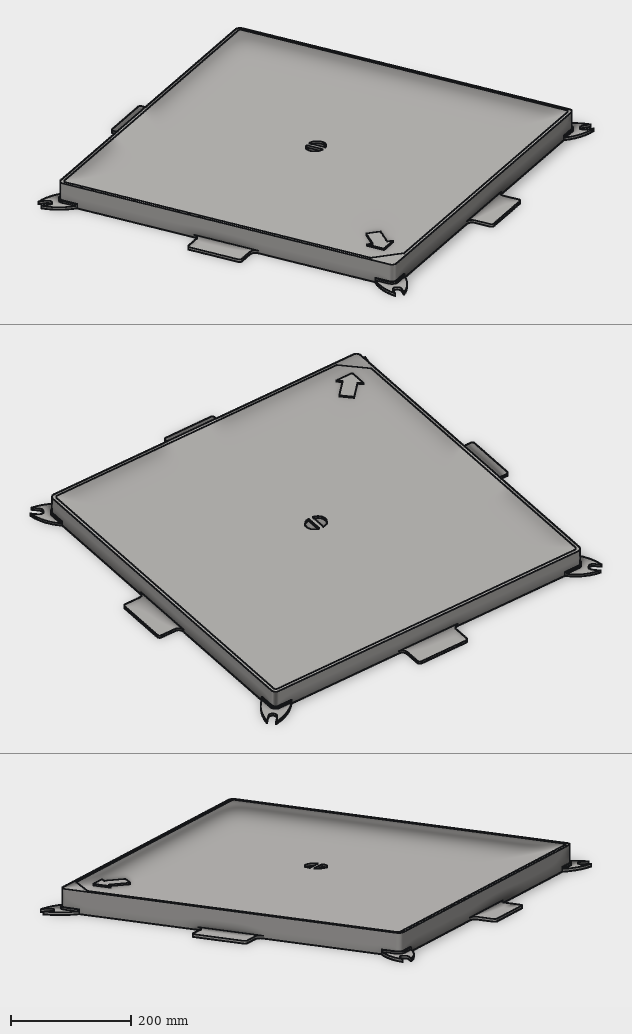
import cadquery as cq
import math

outer_span = 720.0
frame_side = 633.5
frame_height = 40.0
frame_corner_radius = 9.0

rim_width = 6.1
lid_side = frame_side - 2 * rim_width
lid_corner_radius = 4.0
lid_corner_cut = 41.0

grip_radius = 15.0
grip_bar_width = 8.0
grip_depth = 4.0

arrow_height = 3.0
arrow_tip_distance = 390.0
arrow_head_length = 23.0
arrow_head_width = 2 * arrow_head_length
arrow_shaft_length = 37.5
arrow_shaft_width = 25.0
arrow_angle = -45

tab_thickness = 5.0
tab_width = 101.0
tab_corner_radius = 4.0
tab_root_radius = 10.0

ear_thickness = 5.0
ear_arc_radius = 86.5
ear_point = 345.5
ear_slot_width = 15.0
ear_slot_centre = 330.0
collar_height = 9.0
collar_width = 2.0

frame_half = frame_side / 2


def rounded_square(side, radius, height):
    return cq.Workplane("XY").rect(side, side).extrude(height).edges("|Z").fillet(radius)


def lid_outline(height):
    """Square with three rounded corners and the +X -Y corner cut off."""
    block = cq.Workplane("XY").rect(lid_side, lid_side).extrude(height)
    block = block.edges("|Z and (<X or >Y)").fillet(lid_corner_radius)
    return block.edges("|Z and >X and <Y").chamfer(lid_corner_cut)


def tab():
    """Tab on the +X side, with rounded outer corners and flared roots."""
    half_width = tab_width / 2
    length = outer_span / 2 - frame_half
    blade = (
        cq.Workplane("XY")
        .box(length, tab_width, tab_thickness, centered=(False, True, False))
        .translate((frame_half, 0, 0))
        .edges("|Z and >X")
        .fillet(tab_corner_radius)
    )
    flare_half = half_width + tab_root_radius
    root = (
        cq.Workplane("XY")
        .box(tab_root_radius, 2 * flare_half, tab_thickness, centered=(False, True, False))
        .translate((frame_half, 0, 0))
    )
    root_cutters = (
        cq.Workplane("XY")
        .pushPoints([(frame_half + tab_root_radius, side * flare_half) for side in (-1, 1)])
        .circle(tab_root_radius)
        .extrude(tab_thickness)
    )
    return blade.union(root.cut(root_cutters))


def ear():
    """Slotted ear on the +X +Y corner, with the raised step along the frame."""
    arc_centre = ear_point - ear_arc_radius

    def ear_disc(x, y, height):
        return cq.Workplane("XY").center(x, y).circle(ear_arc_radius).extrude(height)

    def lens(height):
        return ear_disc(arc_centre, ear_point, height).intersect(ear_disc(ear_point, arc_centre, height))

    collar_side = frame_side + 2 * collar_width
    collar_limit = rounded_square(collar_side, frame_corner_radius + collar_width, collar_height)
    collar = lens(collar_height).intersect(collar_limit)

    slot_length = 2 * (ear_point - ear_slot_centre) * math.sqrt(2)
    slot = (
        cq.Workplane("XY")
        .rect(slot_length, ear_slot_width)
        .extrude(ear_thickness)
        .translate((slot_length / 2, 0, 0))
        .union(cq.Workplane("XY").circle(ear_slot_width / 2).extrude(ear_thickness))
        .rotate((0, 0, 0), (0, 0, 1), 45)
        .translate((ear_slot_centre, ear_slot_centre, 0))
    )
    return lens(ear_thickness).cut(slot).union(collar)


def make_frame():
    frame = rounded_square(frame_side, frame_corner_radius, frame_height)
    for quarter in range(4):
        for fitting in (tab(), ear()):
            frame = frame.union(fitting.rotate((0, 0, 0), (0, 0, 1), 90 * quarter))
    return frame.cut(lid_outline(frame_height))


def grip_pockets():
    floor = frame_height - grip_depth
    bar = cq.Workplane("XY").box(4 * grip_radius, grip_bar_width, frame_height, centered=(True, True, False))
    pockets = (
        cq.Workplane("XY", origin=(0, 0, floor))
        .slot2D(2 * grip_radius + grip_bar_width, 2 * grip_radius, 90)
        .extrude(grip_depth)
    )
    return pockets.cut(bar)


def arrow():
    neck = arrow_tip_distance - arrow_head_length
    tail = neck - arrow_shaft_length
    half_shaft = arrow_shaft_width / 2
    half_head = arrow_head_width / 2
    return (
        cq.Workplane("XY", origin=(0, 0, frame_height))
        .moveTo(tail, -half_shaft)
        .lineTo(neck, -half_shaft)
        .lineTo(neck, -half_head)
        .lineTo(arrow_tip_distance, 0)
        .lineTo(neck, half_head)
        .lineTo(neck, half_shaft)
        .lineTo(tail, half_shaft)
        .close()
        .extrude(arrow_height)
        .rotate((0, 0, 0), (0, 0, 1), arrow_angle)
    )


def make_lid():
    return lid_outline(frame_height).cut(grip_pockets()).union(arrow())


frame = make_frame()
lid = make_lid()

result = cq.Compound.makeCompound([frame.val(), lid.val()])